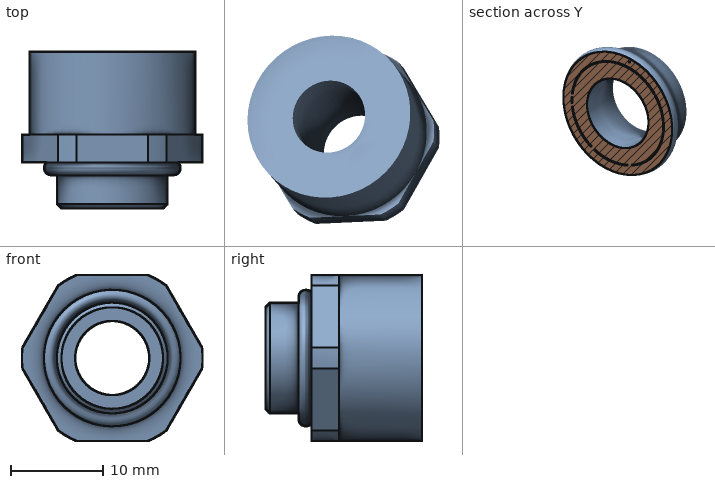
import cadquery as cq
import math

body_diameter = 18.0
body_length = 9.0
flange_across_flats = body_diameter
flange_corner_diameter = 19.6
flange_thickness = 3.0
spigot_diameter = 12.0
spigot_length = 5.0
spigot_chamfer = 0.5
bore_diameter = 8.0
ring_section_diameter = 1.6
ring_embed = 0.2

shoulder_y = 0.0
body_start_y = shoulder_y + flange_thickness
body_end_y = body_start_y + body_length
spigot_end_y = shoulder_y - spigot_length


def cylinder(diameter, start_y, end_y):
    """Solid cylinder on the Y axis between two Y positions."""
    return (
        cq.Workplane("XZ", origin=(0, start_y, 0))
        .circle(diameter / 2)
        .extrude(start_y - end_y)
    )


def make_flange():
    """Hexagon with flats facing +Z and -Z, its corners turned round."""
    across_corners = flange_across_flats / math.cos(math.pi / 6)
    hexagon = (
        cq.Workplane("XZ", origin=(0, shoulder_y, 0))
        .polygon(6, across_corners)
        .extrude(-flange_thickness)
    )
    return hexagon.intersect(cylinder(flange_corner_diameter, shoulder_y, body_start_y))


def make_spigot():
    """Round spigot with a chamfered free end."""
    return cylinder(spigot_diameter, spigot_end_y, shoulder_y).faces("<Y").chamfer(spigot_chamfer)


def make_sealing_ring():
    """O-ring seated in the corner between spigot and shoulder."""
    section_radius = ring_section_diameter / 2
    centre_radius = spigot_diameter / 2 + section_radius - ring_embed
    centre_y = shoulder_y - section_radius + ring_embed
    return (
        cq.Workplane("XY")
        .center(centre_radius, centre_y)
        .circle(section_radius)
        .revolve(360, (-centre_radius, 0), (-centre_radius, 1))
    )


body = cylinder(body_diameter, body_start_y, body_end_y)
bore = cylinder(bore_diameter, spigot_end_y, body_end_y)

result = body.union(make_flange()).union(make_spigot()).union(make_sealing_ring()).cut(bore)